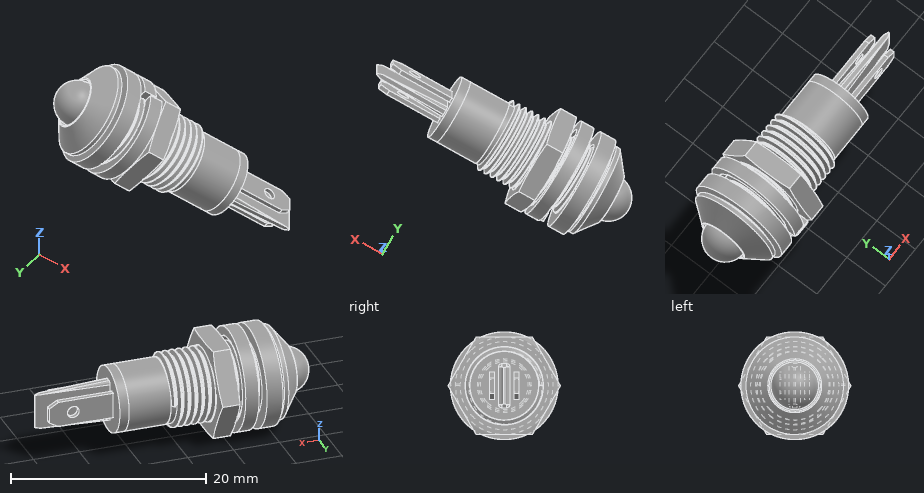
import cadquery as cq
import math


overall_length = 29.75

lamp_radius = 2.45
pocket_radius = 2.62
pocket_floor_x = 3.87

bezel_front_x = 2.1
bezel_front_radius = 2.77
rim_front_x = 3.87
rim_back_x = 4.35
rim_radius = 5.0
shank_radius = 4.02
tail_front_x = 16.15
tail_radius = 3.55
housing_back_x = 20.75

thread_root_radius = 3.5
thread_crest_radius = 4.0
thread_crest_width = 0.1
thread_flank_half_angle = 30.0
thread_start_x = 4.88
thread_length = 11.05
thread_turns = 14 + 3 / 4
thread_pitch = thread_length / thread_turns
thread_overlap = 0.1

gasket_front_x = 4.7
gasket_width = 1.73
gasket_radius = 5.53
shank_back_x = gasket_front_x + gasket_width / 2

lock_washer_front_x = 6.93
lock_washer_width = 1.45
lock_washer_outer_radius = gasket_radius
lock_washer_inner_radius = 4.52
lock_washer_pitch = 0.75
lock_washer_gap_angle = 2.0

nut_front_x = 9.35
nut_width = 2.1
nut_across_flats = 10.0
nut_across_corners = nut_across_flats / math.cos(math.radians(30))
nut_bore_radius = shank_radius
nut_chamfer_radius = 5.12
nut_chamfer_depth = 0.12

cap_width = 1.0
cap_back_x = housing_back_x + cap_width
divider_height = 3.87
divider_thickness = 0.5
divider_root_growth = 0.33
divider_shoulder_x = 29.2
divider_tip_height = 3.72
divider_tip_thickness = 0.12

terminal_offset = 1.25
terminal_thickness = 0.5
terminal_height = 2.8
terminal_end_x = 28.7
terminal_taper_length = 1.0
terminal_tip_height = 1.6
terminal_hole_x = 26.1
terminal_hole_radius = 0.62


def disc(front_x, back_x, radius):
    """Cylinder on the X axis."""
    return cq.Workplane("YZ", origin=(front_x, 0, 0)).circle(radius).extrude(back_x - front_x)


def helical_sweep(profile_points, start_x, pitch, turns, start_angle):
    """Left-handed helical solid about X from (radius, axial) points.

    A start angle of zero is on the -Z side; a growing angle turns the start towards +Y.
    """
    radius = profile_points[0][0]
    path = cq.Wire.makeHelix(pitch, pitch * turns, radius, lefthand=True)
    coil = cq.Workplane("XZ").polyline(profile_points).close().sweep(cq.Workplane(path), isFrenet=True)
    return (
        coil.rotate((0, 0, 0), (0, 0, 1), start_angle)
        .rotate((0, 0, 0), (0, 1, 0), 90)
        .translate((start_x, 0, 0))
    )


def make_lamp():
    """Round-nosed lamp standing on the pocket floor."""
    nose = cq.Workplane("XY").sphere(lamp_radius).translate((lamp_radius, 0, 0))
    nose = nose.intersect(disc(0, lamp_radius, lamp_radius))
    return nose.union(disc(lamp_radius, pocket_floor_x, lamp_radius))


def make_thread_ridge():
    ridge_base_radius = thread_root_radius - thread_overlap
    flank_run = (thread_crest_radius - ridge_base_radius) * math.tan(math.radians(thread_flank_half_angle))
    crest_half = thread_crest_width / 2
    base_half = crest_half + flank_run
    profile = [
        (ridge_base_radius, -base_half),
        (thread_crest_radius, -crest_half),
        (thread_crest_radius, crest_half),
        (ridge_base_radius, base_half),
    ]
    ridge = helical_sweep(profile, thread_start_x, thread_pitch, thread_turns, 0)
    thread_end_x = thread_start_x + thread_length
    return ridge.cut(disc(tail_front_x, thread_end_x + thread_pitch, thread_crest_radius + thread_overlap))


def make_housing():
    body = (
        cq.Workplane("XY")
        .moveTo(bezel_front_x, 0)
        .lineTo(bezel_front_x, bezel_front_radius)
        .lineTo(rim_front_x, rim_radius)
        .lineTo(rim_back_x, rim_radius)
        .lineTo(rim_back_x, shank_radius)
        .lineTo(shank_back_x, shank_radius)
        .lineTo(shank_back_x, thread_root_radius)
        .lineTo(tail_front_x, thread_root_radius)
        .lineTo(tail_front_x, tail_radius)
        .lineTo(housing_back_x, tail_radius)
        .lineTo(housing_back_x, 0)
        .close()
        .revolve(360, (0, 0, 0), (1, 0, 0))
    )
    body = body.union(make_thread_ridge())
    return body.cut(disc(bezel_front_x, pocket_floor_x, pocket_radius))


def make_gasket():
    gasket_back_x = gasket_front_x + gasket_width
    ring = disc(gasket_front_x, gasket_back_x, gasket_radius)
    return ring.cut(disc(gasket_front_x, gasket_back_x, shank_radius))


def make_lock_washer():
    """One open turn of a rectangular section, split on the -Y side."""
    profile = [
        (lock_washer_inner_radius, 0),
        (lock_washer_outer_radius, 0),
        (lock_washer_outer_radius, lock_washer_width),
        (lock_washer_inner_radius, lock_washer_width),
    ]
    turns = 1 - lock_washer_gap_angle / 360
    start_angle = -90 - lock_washer_gap_angle
    return helical_sweep(profile, lock_washer_front_x, lock_washer_pitch, turns, start_angle)


def make_nut():
    """Hexagon with corners on +Y and -Y, chamfered on both faces."""
    nut_back_x = nut_front_x + nut_width
    corner_radius = nut_across_corners / 2
    hexagon = (
        cq.Workplane("YZ", origin=(nut_front_x, 0, 0))
        .polygon(6, nut_across_corners)
        .extrude(nut_width)
    )
    chamfer_envelope = (
        cq.Workplane("XY")
        .moveTo(nut_front_x, 0)
        .lineTo(nut_front_x, nut_chamfer_radius)
        .lineTo(nut_front_x + nut_chamfer_depth, corner_radius)
        .lineTo(nut_back_x - nut_chamfer_depth, corner_radius)
        .lineTo(nut_back_x, nut_chamfer_radius)
        .lineTo(nut_back_x, 0)
        .close()
        .revolve(360, (0, 0, 0), (1, 0, 0))
    )
    return hexagon.intersect(chamfer_envelope).cut(disc(nut_front_x, nut_back_x, nut_bore_radius))


def make_divider():
    """Plate that widens towards the cap with rounded corners and ends in a wedge."""
    root_length = divider_shoulder_x - cap_back_x
    draft = math.degrees(math.atan(divider_root_growth / root_length))
    shoulder = cq.Workplane("YZ", origin=(divider_shoulder_x, 0, 0))
    root = shoulder.rect(divider_thickness, divider_height).extrude(-root_length, taper=-draft)
    wedge = (
        shoulder.rect(divider_thickness, divider_height)
        .workplane(offset=overall_length - divider_shoulder_x)
        .rect(divider_tip_thickness, divider_tip_height)
        .loft(ruled=True)
    )
    return root.union(wedge)


def make_terminal(side):
    """Blade with a tapered end and a cross hole, reaching through the cap to the housing."""
    half_height = terminal_height / 2
    half_tip = terminal_tip_height / 2
    taper_x = terminal_end_x - terminal_taper_length
    centre_y = side * terminal_offset
    outline = [
        (housing_back_x, -half_height),
        (taper_x, -half_height),
        (terminal_end_x, -half_tip),
        (terminal_end_x, half_tip),
        (taper_x, half_height),
        (housing_back_x, half_height),
    ]
    plane = cq.Workplane("XZ", origin=(0, centre_y, 0))
    blade = plane.polyline(outline).close().extrude(terminal_thickness / 2, both=True)
    hole = plane.center(terminal_hole_x, 0).circle(terminal_hole_radius).extrude(terminal_thickness, both=True)
    return blade.cut(hole)


def make_end_cap(terminals):
    """Disc and divider in one piece, slotted for the terminals."""
    cap = disc(housing_back_x, cap_back_x, tail_radius).union(make_divider())
    for terminal in terminals:
        cap = cap.cut(terminal)
    return cap


lamp = make_lamp()
housing = make_housing()
gasket = make_gasket()
lock_washer = make_lock_washer()
nut = make_nut()
terminals = [make_terminal(side) for side in (-1, 1)]
end_cap = make_end_cap(terminals)

result = cq.Compound.makeCompound(
    [
        lamp.val(),
        housing.val(),
        gasket.val(),
        lock_washer.val(),
        nut.val(),
        end_cap.val(),
        *[terminal.val() for terminal in terminals],
    ]
)